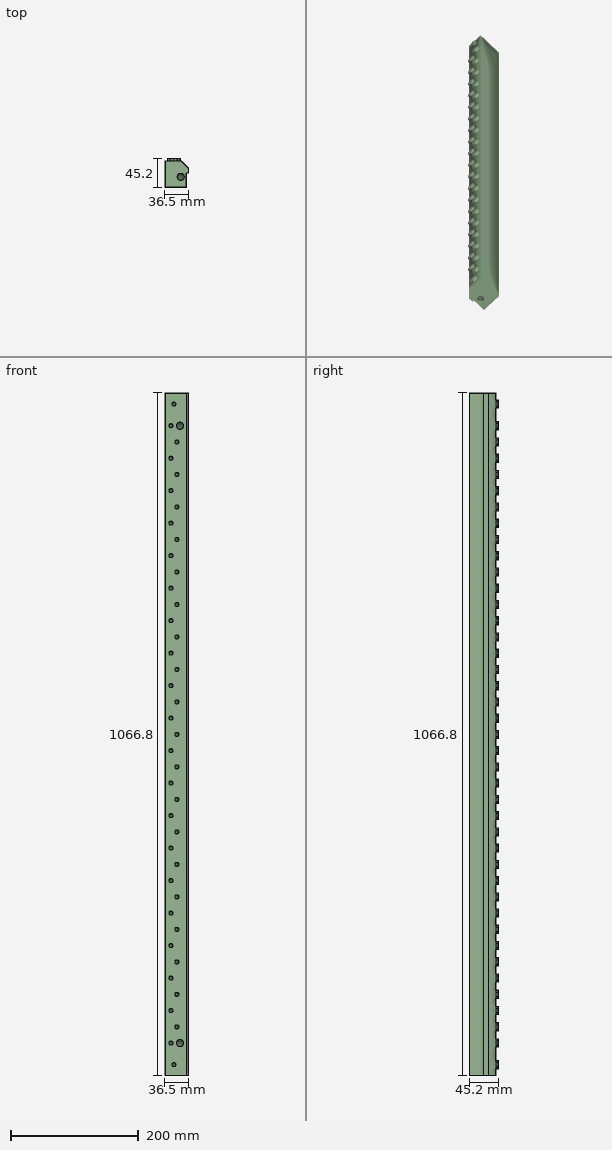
import cadquery as cq
import math

length = 1066.8
width = 36.53
base_width = 33.34
body_depth = 41.28
overall_depth = 45.21
lip_bottom = 22.23
lip_top = 30.16
bevel = body_depth - lip_top

head_flats = 11.11
head_sides = 6
half_side_angle = 180 / head_sides
head_corners = head_flats / math.cos(math.radians(half_side_angle))
head_height = overall_depth - body_depth
bore_diameter = 6.35
bore_depth = 12.7
pitch = 25.4
pitch_count = 38
row_inset = (length - pitch * pitch_count) / 2
left_row_x = 9.0
right_row_x = 18.3
end_head_x = (left_row_x + right_row_x) / 2
end_head_inset = 17.0

port_diameter = 11.11
port_depth = 12.7
end_port_x = 24.4
front_port_x = 23.3
end_port_y = 16.5
front_port_inset = 50.8
drill_point_angle = 118


def make_bar():
    """Bar with a bevelled back corner and a lip along the +X side."""
    outline = [
        (0, 0),
        (base_width, 0),
        (base_width, lip_bottom),
        (width, lip_bottom),
        (width, lip_top),
        (width - bevel, body_depth),
        (0, body_depth),
    ]
    return cq.Workplane("XY").polyline(outline).close().extrude(length)


def head_centres():
    """(x, z) of every head: two staggered rows and one more near each end."""
    centres = [(end_head_x, end_head_inset), (end_head_x, length - end_head_inset)]
    for index in range(pitch_count + 1):
        x = left_row_x if index % 2 == 0 else right_row_x
        centres.append((x, row_inset + index * pitch))
    return centres


def make_heads(centres):
    """Hexagonal heads with flats facing -X and +X."""
    back_face = cq.Workplane("XZ", origin=(0, body_depth, 0))
    head = back_face.polygon(head_sides, head_corners).extrude(-head_height)
    head = head.rotate((0, 0, 0), (0, 1, 0), half_side_angle).val()
    return [head.translate(cq.Vector(x, 0, z)) for x, z in centres]


def drilled_hole(diameter, depth, mouth, direction):
    """Blind hole with a conical bottom, as a solid to cut away."""
    radius = diameter / 2
    point_height = radius / math.tan(math.radians(drill_point_angle / 2))
    mouth = cq.Vector(*mouth)
    direction = cq.Vector(*direction)
    barrel = cq.Solid.makeCylinder(radius, depth, mouth, direction)
    point = cq.Solid.makeCone(radius, 0, point_height, mouth + direction * depth, direction)
    return barrel.fuse(point)


def front_bores(centres):
    return [drilled_hole(bore_diameter, bore_depth, (x, 0, z), (0, 1, 0)) for x, z in centres]


def ports():
    """One port in each end face and one in the front face near each end."""
    mouths = [
        ((end_port_x, end_port_y, 0), (0, 0, 1)),
        ((end_port_x, end_port_y, length), (0, 0, -1)),
        ((front_port_x, 0, front_port_inset), (0, 1, 0)),
        ((front_port_x, 0, length - front_port_inset), (0, 1, 0)),
    ]
    return [drilled_hole(port_diameter, port_depth, mouth, direction) for mouth, direction in mouths]


centres = head_centres()
bar_with_heads = make_bar().val().fuse(*make_heads(centres))
drilled_bar = bar_with_heads.cut(*front_bores(centres), *ports())
result = cq.Workplane(obj=drilled_bar.Solids()[0])